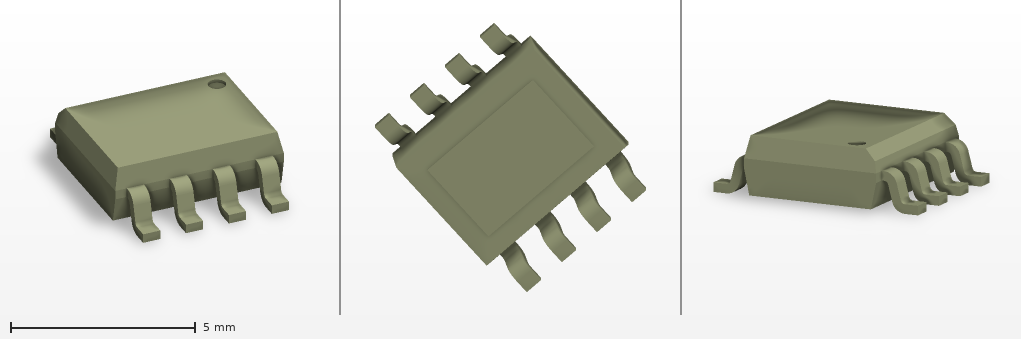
import cadquery as cq
import math

LEAD_COUNT_PER_SIDE = 4
LEAD_PITCH = 1.27
LEAD_WIDTH = 0.51
LEAD_THICKNESS = 0.265
LEAD_INNER_RADIUS = 0.125
LEAD_SLOPE = math.radians(75)
LEAD_TIP_X = 3.1
SHOULDER_LENGTH = 0.075

BODY_WIDTH = 4.005
BODY_LENGTH = 5.0
BODY_TOP_Z = 1.75
PARTING_Z = 1.12
BODY_BOTTOM_Z = 0.105
DRAFT_DEGREES = 12
BEVEL_LEG = 0.31

DIMPLE_DIAMETER = 0.5
DIMPLE_DEPTH = 0.1
DIMPLE_X = -1.12

PAD_WIDTH = 2.5
PAD_THICKNESS = 0.045

BODY_HALF_WIDTH = BODY_WIDTH / 2
SIDE_BAND_BOTTOM_Z = PARTING_Z - LEAD_THICKNESS
LEAD_ROW_SPAN = (LEAD_COUNT_PER_SIDE - 1) * LEAD_PITCH
PAD_LENGTH = LEAD_ROW_SPAN
DRAFT_SLOPE = math.tan(math.radians(DRAFT_DEGREES))


def make_housing():
    """Moulded body with a drafted top, a pin 1 bevel and a pin 1 dimple."""
    bottom_half_width = BODY_HALF_WIDTH - (SIDE_BAND_BOTTOM_Z - BODY_BOTTOM_Z) * DRAFT_SLOPE
    lower = (
        cq.Workplane("XZ")
        .polyline([
            (-BODY_HALF_WIDTH, PARTING_Z),
            (-BODY_HALF_WIDTH, SIDE_BAND_BOTTOM_Z),
            (-bottom_half_width, BODY_BOTTOM_Z),
            (bottom_half_width, BODY_BOTTOM_Z),
            (BODY_HALF_WIDTH, SIDE_BAND_BOTTOM_Z),
            (BODY_HALF_WIDTH, PARTING_Z),
        ])
        .close()
        .extrude(BODY_LENGTH / 2, both=True)
    )
    upper_height = BODY_TOP_Z - PARTING_Z
    upper = (
        cq.Workplane("XY", origin=(0, 0, PARTING_Z))
        .rect(BODY_WIDTH, BODY_LENGTH)
        .extrude(upper_height, taper=DRAFT_DEGREES)
    )

    bevel_low_z = BODY_TOP_Z - BEVEL_LEG
    bevel_low_x = -BODY_HALF_WIDTH + (bevel_low_z - PARTING_Z) * DRAFT_SLOPE
    bevel = (
        cq.Workplane("XZ")
        .polyline([
            (bevel_low_x, bevel_low_z),
            (bevel_low_x + BEVEL_LEG, BODY_TOP_Z),
            (bevel_low_x, BODY_TOP_Z),
        ])
        .close()
        .extrude(BODY_LENGTH / 2, both=True)
    )
    dimple = (
        cq.Workplane("XY", origin=(DIMPLE_X, LEAD_ROW_SPAN / 2, BODY_TOP_Z))
        .circle(DIMPLE_DIAMETER / 2)
        .extrude(-DIMPLE_DEPTH)
    )
    return lower.union(upper).cut(bevel).cut(dimple)


def make_lead():
    """Gull-wing lead on the +X side, centred on Y = 0."""
    shoulder_z = PARTING_Z - LEAD_THICKNESS / 2
    foot_z = LEAD_THICKNESS / 2
    bend_radius = LEAD_INNER_RADIUS + LEAD_THICKNESS / 2
    bend_run = bend_radius * math.sin(LEAD_SLOPE)
    bend_drop = bend_radius * (1 - math.cos(LEAD_SLOPE))
    leg_drop = shoulder_z - foot_z - 2 * bend_drop
    leg_run = leg_drop / math.tan(LEAD_SLOPE)

    upper_bend_x = BODY_HALF_WIDTH + SHOULDER_LENGTH
    leg_top_x = upper_bend_x + bend_run
    leg_bottom_x = leg_top_x + leg_run
    foot_start_x = leg_bottom_x + bend_run

    centreline = (
        cq.Workplane("XZ")
        .moveTo(BODY_HALF_WIDTH, shoulder_z)
        .lineTo(upper_bend_x, shoulder_z)
        .tangentArcPoint((leg_top_x, shoulder_z - bend_drop), relative=False)
        .lineTo(leg_bottom_x, foot_z + bend_drop)
        .tangentArcPoint((foot_start_x, foot_z), relative=False)
        .lineTo(LEAD_TIP_X, foot_z)
    )
    return (
        cq.Workplane("YZ", origin=(BODY_HALF_WIDTH, 0, shoulder_z))
        .rect(LEAD_WIDTH, LEAD_THICKNESS)
        .sweep(centreline)
    )


def make_thermal_pad():
    """Thin exposed pad flush against the underside of the housing."""
    return (
        cq.Workplane("XY", origin=(0, 0, BODY_BOTTOM_Z))
        .rect(PAD_WIDTH, PAD_LENGTH)
        .extrude(-PAD_THICKNESS)
    )


housing = make_housing()
thermal_pad = make_thermal_pad()

leads = []
for side_angle in (0, 180):
    for index in range(LEAD_COUNT_PER_SIDE):
        lead_y = index * LEAD_PITCH - LEAD_ROW_SPAN / 2
        lead = make_lead().translate((0, lead_y, 0)).rotate((0, 0, 0), (0, 0, 1), side_angle)
        leads.append(lead.val())

result = cq.Compound.makeCompound([housing.val(), thermal_pad.val(), *leads])